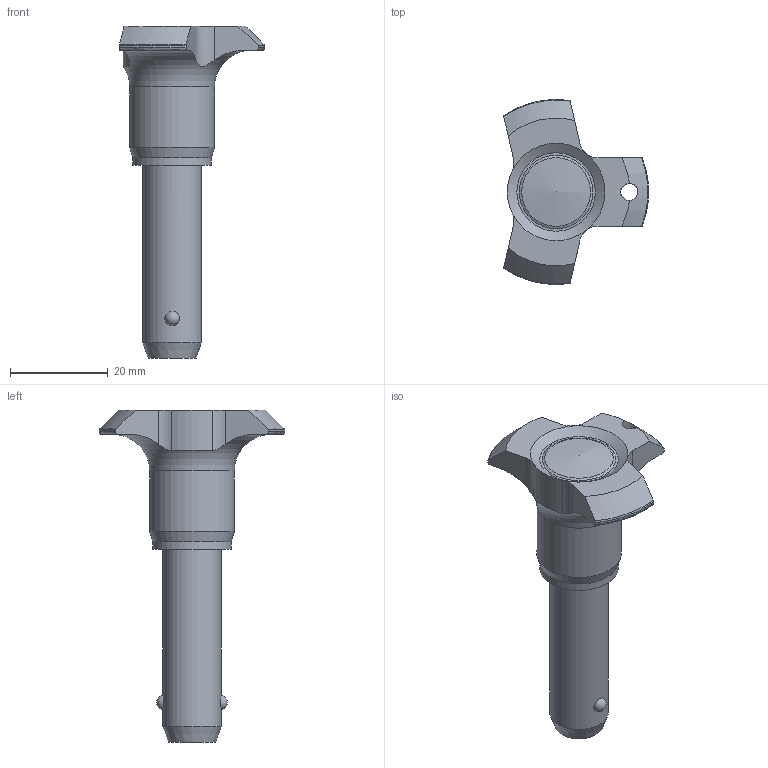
import cadquery as cq
import math

eighth_turn_shift = math.sqrt(0.5)
eighth_turn_tangent = math.sqrt(2) - 1

grip_height = 28.6
shank_length = 39.5
wing_thickness = 5.0

shank_radius = 6.0
tip_radius = 4.9
tip_length = 3.1
ball_radius = 1.5
ball_offset = 5.8
ball_height_above_tip = 8.1

barrel_radius = 8.7
collar_radius = 8.05
collar_height = 1.6
taper_height = 2.1
flare_radius = 7.5

wing_reach = 19.0
wing_width = 14.0
side_wing_angle = 103.0
wing_angles = (-side_wing_angle, 0.0, side_wing_angle)
wing_bevel = 3.85
wing_rim_radius = 0.5
hub_radius = 10.0

half_wing_gap = side_wing_angle / 2
gap_sine = math.sin(math.radians(half_wing_gap))
blend_radius = (hub_radius * gap_sine - wing_width / 2) / (1 - gap_sine)

lanyard_hole_diameter = 3.5
lanyard_hole_offset = 15.0

recess_floor_radius = 8.05
recess_depth = 1.35
button_radius = 7.55
button_bevel_width = 0.5
button_bevel_height = 0.25
button_dome_rise = 0.7


def revolve_about_z(profile):
    """Turn a closed XZ half-profile around the Z axis."""
    return profile.revolve(360, (0, 0, 0), (0, 1, 0))


def make_grip_blank():
    """Turned grip: collar, taper, barrel, flared underside and bevelled rim."""
    wing_bottom = grip_height - wing_thickness
    flare_start = wing_bottom - flare_radius
    flare_end_radius = barrel_radius + flare_radius
    flare_mid_shift = flare_radius * eighth_turn_shift
    bevel_tangent_length = wing_rim_radius * eighth_turn_tangent
    rim_top = grip_height - wing_bevel - bevel_tangent_length
    rim_bottom = wing_bottom + wing_rim_radius
    rim_centre_radius = wing_reach - wing_rim_radius
    rim_mid_shift = wing_rim_radius * eighth_turn_shift
    profile = (
        cq.Workplane("XZ")
        .moveTo(0, 0)
        .lineTo(collar_radius, 0)
        .lineTo(collar_radius, collar_height)
        .lineTo(barrel_radius, collar_height + taper_height)
        .lineTo(barrel_radius, flare_start)
        .threePointArc(
            (flare_end_radius - flare_mid_shift, flare_start + flare_mid_shift),
            (flare_end_radius, wing_bottom),
        )
        .lineTo(rim_centre_radius, wing_bottom)
        .threePointArc(
            (rim_centre_radius + rim_mid_shift, rim_bottom - rim_mid_shift),
            (wing_reach, rim_bottom),
        )
        .lineTo(wing_reach, rim_top)
        .tangentArcPoint(
            (rim_centre_radius + rim_mid_shift, rim_top + rim_mid_shift), relative=False
        )
        .lineTo(wing_reach - wing_bevel, grip_height)
        .lineTo(0, grip_height)
        .close()
    )
    return revolve_about_z(profile)


def polar_point(radius, bearing):
    """XY point at a radius and a bearing in degrees from +X."""
    angle = math.radians(bearing)
    return (radius * math.cos(angle), radius * math.sin(angle))


def wing_point(along, across, bearing):
    """XY point given along and to the left of a wing's centre line."""
    ahead = polar_point(along, bearing)
    left = polar_point(across, bearing + 90)
    return (ahead[0] + left[0], ahead[1] + left[1])


def make_wing_outline():
    """Prism of the hub with its three wings; every blend is tangent to the hub."""
    half_width = wing_width / 2
    blend_start = (half_width + blend_radius) / math.tan(math.radians(half_wing_gap))
    rear_bearing = side_wing_angle + half_wing_gap
    outline = cq.Workplane("XY").moveTo(*polar_point(hub_radius, -rear_bearing))
    for bearing in wing_angles:
        outline = (
            outline
            .radiusArc(wing_point(blend_start, -half_width, bearing), blend_radius)
            .lineTo(*wing_point(wing_reach, -half_width, bearing))
            .lineTo(*wing_point(wing_reach, half_width, bearing))
            .lineTo(*wing_point(blend_start, half_width, bearing))
        )
    return (
        outline
        .radiusArc(polar_point(hub_radius, rear_bearing), blend_radius)
        .threePointArc((-hub_radius, 0), polar_point(hub_radius, -rear_bearing))
        .close()
        .extrude(grip_height)
    )


def make_lanyard_hole():
    """Vertical hole through the wing that points along +X."""
    return (
        cq.Workplane("XY")
        .center(lanyard_hole_offset, 0)
        .circle(lanyard_hole_diameter / 2)
        .extrude(grip_height)
    )


def make_recess():
    """Conical dish in the top of the hub, with the domed button left standing in it."""
    floor = grip_height - recess_depth
    dome_edge_radius = button_radius - button_bevel_width
    dome_edge_height = floor + button_bevel_height
    dome_top = dome_edge_height + button_dome_rise
    sphere_radius = (dome_edge_radius**2 + button_dome_rise**2) / (2 * button_dome_rise)
    dome_mid_radius = dome_edge_radius / 2
    dome_mid_height = dome_top - sphere_radius + math.sqrt(sphere_radius**2 - dome_mid_radius**2)
    return revolve_about_z(
        cq.Workplane("XZ")
        .moveTo(0, grip_height)
        .lineTo(hub_radius, grip_height)
        .lineTo(recess_floor_radius, floor)
        .lineTo(button_radius, floor)
        .lineTo(dome_edge_radius, dome_edge_height)
        .threePointArc((dome_mid_radius, dome_mid_height), (0, dome_top))
        .close()
    )


def make_shank():
    """Cylindrical pin with a tapered lead-in at its lower end."""
    return revolve_about_z(
        cq.Workplane("XZ")
        .moveTo(0, 0)
        .lineTo(shank_radius, 0)
        .lineTo(shank_radius, tip_length - shank_length)
        .lineTo(tip_radius, -shank_length)
        .lineTo(0, -shank_length)
        .close()
    )


def make_ball(side):
    """Locking ball showing through the shank on the +Y or -Y side."""
    ball_height = ball_height_above_tip - shank_length
    return cq.Workplane("XY").sphere(ball_radius).translate((0, side * ball_offset, ball_height))


grip = make_grip_blank().intersect(make_wing_outline())
grip = grip.cut(make_lanyard_hole()).cut(make_recess())
result = grip.union(make_shank())
for side in (1, -1):
    result = result.union(make_ball(side))